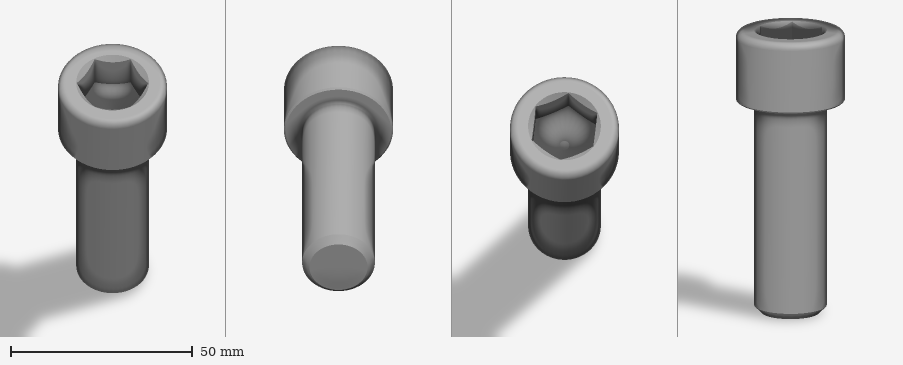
import cadquery as cq
import math

total_length = 80.0
head_height = 20.0
head_diameter = 30.0
shank_diameter = 20.0
head_top_fillet = 2.0
head_bottom_chamfer = 0.5
neck_fillet = 0.8
tip_chamfer = 2.0

hex_across_flats = 17.0
hex_across_corners = hex_across_flats / math.cos(math.pi / 6)
socket_depth = 10.0
mouth_diameter = 20.0
mouth_angle = 45.0
drill_tip_diameter = 2.6
drill_tip_angle = 30.0

head_radius = head_diameter / 2
shank_radius = shank_diameter / 2
head_bottom = total_length - head_height


def make_body():
    """Revolve the head and shank, with a rounded neck between them."""
    neck_radius = shank_radius + neck_fillet
    arc_offset = neck_fillet * (1 - math.sqrt(0.5))
    profile = (
        cq.Workplane("XZ")
        .moveTo(0, 0)
        .lineTo(shank_radius - tip_chamfer, 0)
        .lineTo(shank_radius, tip_chamfer)
        .lineTo(shank_radius, head_bottom - neck_fillet)
        .threePointArc(
            (shank_radius + arc_offset, head_bottom - arc_offset),
            (neck_radius, head_bottom),
        )
        .lineTo(head_radius - head_bottom_chamfer, head_bottom)
        .lineTo(head_radius, head_bottom + head_bottom_chamfer)
        .lineTo(head_radius, total_length)
        .lineTo(0, total_length)
        .close()
    )
    body = profile.revolve(360, (0, 0, 0), (0, 1, 0))
    return body.faces(">Z").edges().fillet(head_top_fillet)


def make_socket():
    """Hexagonal recess with a countersunk mouth and a conical floor."""
    corner_radius = hex_across_corners / 2
    tip_radius = drill_tip_diameter / 2
    drill_slope = math.tan(math.radians(drill_tip_angle))
    cone_depth = (corner_radius - tip_radius) * drill_slope
    socket_corner_floor = total_length - socket_depth
    socket_bottom = socket_corner_floor - cone_depth
    cone_rim = socket_bottom + (head_radius - tip_radius) * drill_slope
    hexagon = (
        cq.Workplane("XY", origin=(0, 0, socket_bottom))
        .polygon(6, hex_across_corners)
        .extrude(total_length - socket_bottom)
    )

    drill = (
        cq.Workplane("XZ")
        .moveTo(0, socket_bottom)
        .lineTo(tip_radius, socket_bottom)
        .lineTo(head_radius, cone_rim)
        .lineTo(head_radius, total_length)
        .lineTo(0, total_length)
        .close()
        .revolve(360, (0, 0, 0), (0, 1, 0))
    )

    mouth_radius = mouth_diameter / 2
    mouth_depth = mouth_radius * math.tan(math.radians(mouth_angle))
    mouth_base = cq.Vector(0, 0, total_length - mouth_depth)
    mouth = cq.Workplane(cq.Solid.makeCone(0, mouth_radius, mouth_depth, mouth_base))
    return hexagon.intersect(drill).union(mouth)


result = make_body().cut(make_socket())